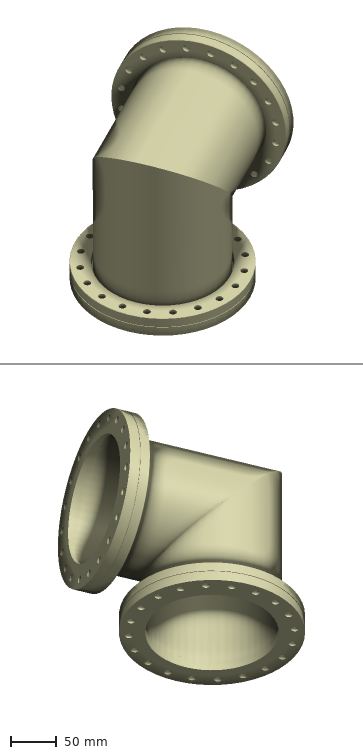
import cadquery as cq

TUBE_OD = 152.5
TUBE_ID = 146.0
OVERALL_LENGTH = 241.2

FLANGE_OD = 203.0
FLANGE_THICKNESS = 23.6
RING_BORE = 156.0
EDGE_CHAMFER = 0.5
GROOVE_WIDTH = 1.0
GROOVE_DEPTH = 0.7

BOLT_COUNT = 20
BOLT_HOLE_DIAMETER = 8.5
BOLT_CIRCLE_DIAMETER = 181.5

INSERT_OD = 171.5
INSERT_THICKNESS = FLANGE_THICKNESS / 2
COLLAR_OD = 154.1
COLLAR_HEIGHT = 4.8

LEG_LENGTH = OVERALL_LENGTH - FLANGE_OD / 2
FACE_Z = -LEG_LENGTH
TUBE_END_Z = FACE_Z + INSERT_THICKNESS


def annulus(outer_diameter, inner_diameter, start_z, height):
    """Return a plain ring about the Z axis, rising from start_z."""
    return (
        cq.Workplane("XY", origin=(0, 0, start_z))
        .circle(outer_diameter / 2)
        .circle(inner_diameter / 2)
        .extrude(height)
    )


def make_tube():
    """Return the downward tube, cut at its top by the mitre plane z = -y."""
    radius = TUBE_OD / 2
    blank = annulus(TUBE_OD, TUBE_ID, TUBE_END_Z, radius - TUBE_END_Z)
    reach = 2 * radius
    above_mitre = (
        cq.Workplane("YZ")
        .polyline([(-reach, reach), (reach, reach), (reach, -reach)])
        .close()
        .extrude(reach, both=True)
    )
    return blank.cut(above_mitre)


def make_flange_ring():
    """Return the bolted ring with its counterbore, rim groove and bolt holes."""
    ring = (
        annulus(FLANGE_OD, RING_BORE, FACE_Z, FLANGE_THICKNESS)
        .faces(">Z")
        .chamfer(EDGE_CHAMFER)
    )
    insert_seat = (
        cq.Workplane("XY", origin=(0, 0, FACE_Z))
        .circle(INSERT_OD / 2)
        .extrude(INSERT_THICKNESS)
    )
    rim_groove = annulus(
        FLANGE_OD,
        FLANGE_OD - 2 * GROOVE_DEPTH,
        FACE_Z + (FLANGE_THICKNESS - GROOVE_WIDTH) / 2,
        GROOVE_WIDTH,
    )
    half_pitch_angle = 180 / BOLT_COUNT
    bolt_holes = (
        cq.Workplane("XY", origin=(0, 0, FACE_Z))
        .polarArray(BOLT_CIRCLE_DIAMETER / 2, half_pitch_angle, 360, BOLT_COUNT)
        .circle(BOLT_HOLE_DIAMETER / 2)
        .extrude(FLANGE_THICKNESS)
    )
    return ring.cut(insert_seat).cut(rim_groove).cut(bolt_holes)


def make_weld_insert():
    """Return the insert that fills the ring's counterbore and holds the tube end in a collar."""
    base = annulus(INSERT_OD, TUBE_ID, FACE_Z, INSERT_THICKNESS)
    collar = annulus(COLLAR_OD, TUBE_OD, TUBE_END_Z, COLLAR_HEIGHT)
    return base.union(collar)


MITRE_LINE_END = (0, 1, -1)
LEG_ANGLES = (0, 180)

bodies = []
for make_body in (make_tube, make_flange_ring, make_weld_insert):
    for angle in LEG_ANGLES:
        body = make_body().rotate((0, 0, 0), MITRE_LINE_END, angle)
        bodies.append(body.val())

result = cq.Compound.makeCompound(bodies)